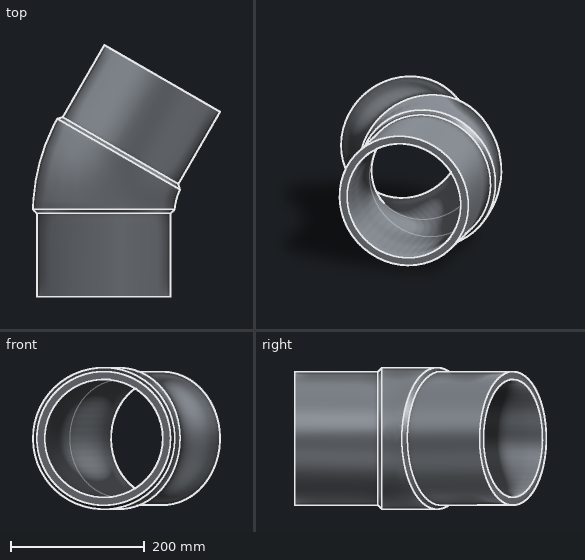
import cadquery as cq
import math

pipe_diameter = 200.0
bore_diameter = 176.2
body_diameter = 212.0
bend_angle = 30.0
bend_radius = 188.0
leg_length = 124.5

shoulder_bevel = (body_diameter - pipe_diameter) / 2

bend_angle_rad = math.radians(bend_angle)
bend_end_x = bend_radius * (1 - math.cos(bend_angle_rad))
bend_end_y = leg_length + bend_radius * math.sin(bend_angle_rad)
outlet_x = bend_end_x + leg_length * math.sin(bend_angle_rad)
outlet_y = bend_end_y + leg_length * math.cos(bend_angle_rad)

inlet_plane = cq.Plane(origin=(0, 0, 0), xDir=(1, 0, 0), normal=(0, 1, 0))
bend_plane = cq.Plane(origin=(0, leg_length, 0), xDir=(1, 0, 0), normal=(0, 1, 0))
outlet_plane = cq.Plane(
    origin=(outlet_x, outlet_y, 0),
    xDir=(0, 0, 1),
    normal=(-math.sin(bend_angle_rad), -math.cos(bend_angle_rad), 0),
)


def make_bend(diameter):
    """Solid round elbow between the two legs."""
    return (
        cq.Workplane(bend_plane)
        .circle(diameter / 2)
        .revolve(bend_angle, (bend_radius, 0), (bend_radius, 1))
    )


def make_leg(plane, diameter):
    """Solid straight cylinder from the open end up to the bend."""
    return cq.Workplane(plane).circle(diameter / 2).extrude(leg_length)


elbow = make_bend(body_diameter).faces("%PLANE").edges().chamfer(shoulder_bevel)
bore = make_bend(bore_diameter)
for end_plane in (inlet_plane, outlet_plane):
    elbow = elbow.union(make_leg(end_plane, pipe_diameter))
    bore = bore.union(make_leg(end_plane, bore_diameter))

result = elbow.cut(bore)